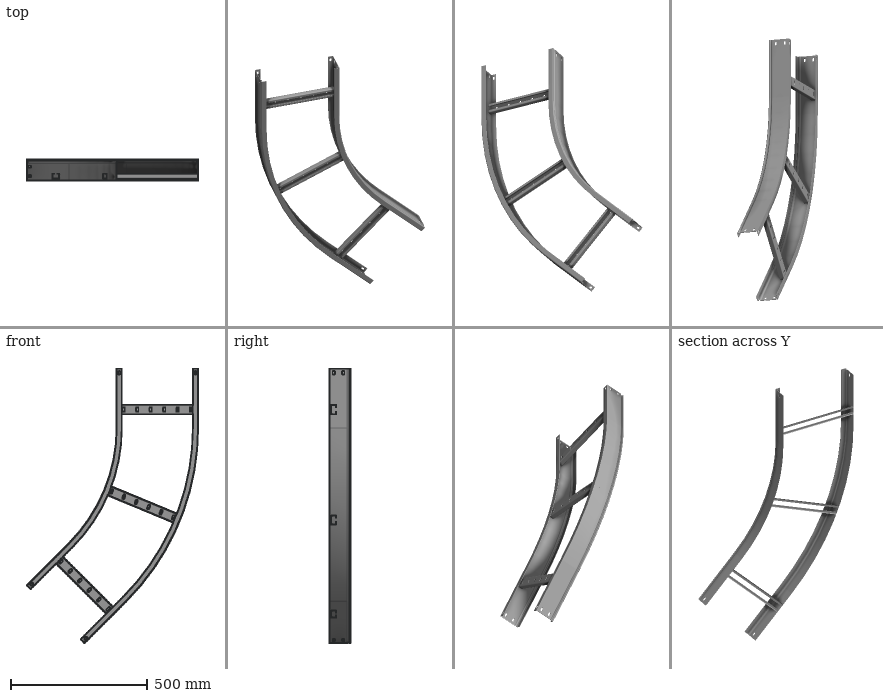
import cadquery as cq
import math


OVERALL_HEIGHT = 1008.0
BEND_ANGLE = 45.0
LADDER_WIDTH = 300.0
INNER_RADIUS = 600.0
OUTER_RADIUS = INNER_RADIUS + LADDER_WIDTH
LADDER_CENTRE_RADIUS = INNER_RADIUS + LADDER_WIDTH / 2
BEND_SINE = math.sin(math.radians(BEND_ANGLE))
STRAIGHT_LENGTH = (OVERALL_HEIGHT - OUTER_RADIUS * BEND_SINE) / (1 + BEND_SINE)

RAIL_DEPTH = 80.0
FLANGE_WIDTH = 20.0
SHEET = 1.5
GROOVE_NEAR = RAIL_DEPTH - 13.0
GROOVE_FAR = RAIL_DEPTH - 5.0
GROOVE_DEPTH = 4.0
GROOVE_SLOPE = 2.0
BEND_RADIUS = 2.0

END_SLOT_WIDTH = 7.0
END_SLOT_LENGTH = 13.0
END_SLOT_INSET = 15.0
WEB_SLOT_NEAR = 17.0
WEB_SLOT_FAR = 51.0

RUNG_INSET = 150.0
MIDDLE_RUNG_OFFSET = 6.0
MIDDLE_RUNG_COVER = SHEET / 2
RUNG_HEIGHT = 36.0
RUNG_DEPTH = 19.0
RUNG_FRONT = 7.0
RUNG_CORNER = 3.0
RUNG_MOUTH = 17.0
RUNG_SLOT_COUNT = 6
RUNG_SLOT_PITCH = 49.0
RUNG_SLOT_WIDTH = 7.0
RUNG_SLOT_LENGTH = 16.0

AXIS_START = (0, 0, 0)
AXIS_END = (0, 1, 0)


def turned(body, angle):
    """Carry a body around the bend axis, towards the lower end of the ladder."""
    return body.rotate(AXIS_START, AXIS_END, angle)


def rounded(face, corners, radius):
    """Round the corners of a flat face that lie at the given points."""
    vertices = [min(face.Vertices(), key=lambda v: (v.Center() - corner).Length) for corner in corners]
    return face.fillet2D(radius, vertices)


def rail_section(face_radius, inward):
    """Channel section face; inward is the X sign from the web to the flange tips."""
    ridge = GROOVE_DEPTH + SHEET
    inner_shift = SHEET / 2
    groove = [
        (0, GROOVE_NEAR),
        (GROOVE_DEPTH, GROOVE_NEAR + GROOVE_SLOPE),
        (GROOVE_DEPTH, GROOVE_FAR - GROOVE_SLOPE),
        (0, GROOVE_FAR),
    ]
    ridge_side = [
        (SHEET, GROOVE_FAR + inner_shift),
        (ridge, GROOVE_FAR - GROOVE_SLOPE + inner_shift),
        (ridge, GROOVE_NEAR + GROOVE_SLOPE - inner_shift),
        (SHEET, GROOVE_NEAR - inner_shift),
    ]
    outer_corner = (0, RAIL_DEPTH)
    inner_corner = (SHEET, RAIL_DEPTH - SHEET)
    outline = [
        (FLANGE_WIDTH, 0),
        (0, 0),
        *groove,
        outer_corner,
        (FLANGE_WIDTH, RAIL_DEPTH),
        (FLANGE_WIDTH, RAIL_DEPTH - SHEET),
        inner_corner,
        *ridge_side,
        (SHEET, SHEET),
        (FLANGE_WIDTH, SHEET),
    ]

    def placed(points):
        return [cq.Vector(face_radius + inward * depth, y, 0) for depth, y in points]

    face = cq.Face.makeFromWires(cq.Wire.makePolygon(placed(outline), close=True))
    face = rounded(face, placed([outer_corner]), BEND_RADIUS + SHEET)
    face = rounded(face, placed([inner_corner]), BEND_RADIUS)
    return rounded(face, placed(groove + ridge_side), BEND_RADIUS)


def rail_end_slots(face_radius, inward, end_z):
    """Cutters for one rail end: two slots in the web and one in the near flange."""
    slot_z = end_z - math.copysign(END_SLOT_INSET, end_z)
    web_slots = (
        cq.Workplane("YZ", origin=(face_radius, 0, slot_z))
        .pushPoints([(WEB_SLOT_NEAR, 0), (WEB_SLOT_FAR, 0)])
        .slot2D(END_SLOT_LENGTH, END_SLOT_WIDTH, 90)
        .extrude(SHEET, both=True)
    )
    flange_slot = (
        cq.Workplane("XZ", origin=(face_radius + inward * FLANGE_WIDTH / 2, 0, slot_z))
        .slot2D(END_SLOT_LENGTH, END_SLOT_WIDTH, 90)
        .extrude(SHEET, both=True)
    )
    return web_slots.union(flange_slot)


def make_rail(face_radius, inward):
    """Straight, bend, straight: one rail with its end slots."""
    section = rail_section(face_radius, inward)
    rise = cq.Vector(0, 0, STRAIGHT_LENGTH)
    upper = cq.Workplane(cq.Solid.extrudeLinear(section, rise))
    bend = cq.Workplane(
        cq.Solid.revolve(section, BEND_ANGLE, cq.Vector(AXIS_START), cq.Vector(AXIS_END))
    )
    lower = cq.Workplane(cq.Solid.extrudeLinear(section, -rise))
    rail = upper.union(bend).union(turned(lower, BEND_ANGLE))
    upper_slots = rail_end_slots(face_radius, inward, STRAIGHT_LENGTH)
    lower_slots = rail_end_slots(face_radius, inward, -STRAIGHT_LENGTH)
    return rail.cut(upper_slots).cut(turned(lower_slots, BEND_ANGLE))


def rung_bar(length, front, depth, height):
    """Plain bar across the ladder, centred between the rails and on Z = 0."""
    bar = cq.Workplane("XY").box(length, depth, height, centered=(True, False, True))
    return bar.translate((LADDER_CENTRE_RADIUS, front, 0))


def make_rung(angle, offset, end_cover):
    """Lipped channel, open at the back, placed at an angle and offset along the path.

    end_cover is the web thickness left over each rung end; zero puts the end flush.
    """
    length = LADDER_WIDTH - 2 * end_cover
    outside = rung_bar(length, RUNG_FRONT, RUNG_DEPTH, RUNG_HEIGHT)
    outside = outside.edges("|X").fillet(RUNG_CORNER)
    inside = rung_bar(length, RUNG_FRONT + SHEET, RUNG_DEPTH - 2 * SHEET, RUNG_HEIGHT - 2 * SHEET)
    inside = inside.edges("|X").fillet(RUNG_CORNER - SHEET)
    mouth = rung_bar(length, RUNG_FRONT + RUNG_DEPTH / 2, RUNG_DEPTH, RUNG_MOUTH)
    slots = (
        cq.Workplane("XZ", origin=(LADDER_CENTRE_RADIUS, RUNG_FRONT, 0))
        .rarray(RUNG_SLOT_PITCH, 10, RUNG_SLOT_COUNT, 1)
        .slot2D(RUNG_SLOT_LENGTH, RUNG_SLOT_WIDTH, 90)
        .extrude(2 * SHEET, both=True)
    )
    rung = outside.cut(inside).cut(mouth).cut(slots)
    return turned(rung.translate((0, 0, offset)), angle)


end_offset = STRAIGHT_LENGTH - RUNG_INSET
rungs = [
    make_rung(0, end_offset, 0),
    make_rung(BEND_ANGLE / 2, MIDDLE_RUNG_OFFSET, MIDDLE_RUNG_COVER),
    make_rung(BEND_ANGLE, -end_offset, 0),
]

inner_rail = make_rail(INNER_RADIUS, 1)
outer_rail = make_rail(OUTER_RADIUS, -1)
for rung in rungs:
    inner_rail = inner_rail.cut(rung)
    outer_rail = outer_rail.cut(rung)

result = cq.Compound.makeCompound(
    [body.solids().val() for body in [inner_rail, outer_rail, *rungs]]
)